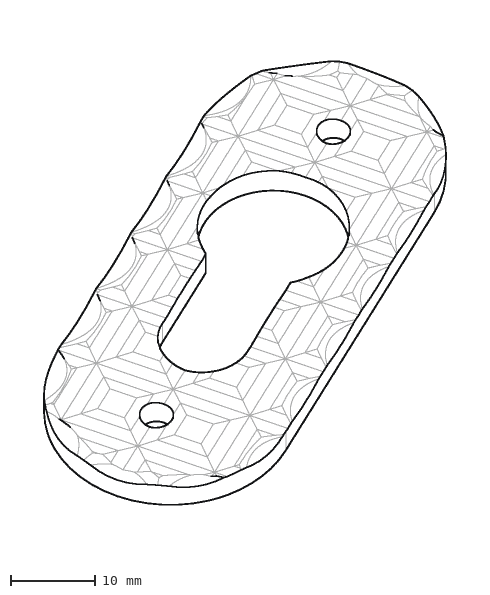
import cadquery as cq
import math

WIDTH = 30.0
LENGTH = 72.0
THICKNESS = 3.5
END_RADIUS = WIDTH / 2
STRAIGHT_LENGTH = LENGTH - WIDTH
HALF_STRAIGHT = STRAIGHT_LENGTH / 2

KEYHOLE_DIAMETER = 18.0
KEYHOLE_Y = 8.0
KEYWAY_WIDTH = 11.0
KEYWAY_END_Y = -17.0
KEYWAY_CENTER_Y = KEYWAY_END_Y + KEYWAY_WIDTH / 2
SCREW_HOLE_DIAMETER = 4.0
SCREW_HOLE_Y = 25.0

PYRAMID_PITCH = 10.0
PYRAMID_RING_SIZE = 6.5
PYRAMID_TOP_SIZE = 3.5
PYRAMID_SLOPE = math.tan(math.radians(4.1))
PYRAMID_COLUMNS = 4
PYRAMID_ROWS = 8
GRID_OFFSET_Y = -0.35

SCALLOP_COUNT = 18
FIRST_SCALLOP_DISTANCE = 5.7
RING_OFFSET_X = 0.45
RING_OFFSET_Y = -0.1
SCALLOP_RADIUS = 22.0
SCALLOP_RIM_HEIGHT = 2.83
SCALLOP_ANGLE = 16.0
BORDER_RADIUS = 100.0
BORDER_RIM_HEIGHT = 3.19
BORDER_ANGLE = 5.7
CUTTER_HALF_LENGTH = 6.0


def pyramid_height(size):
    """Height of the pyramid's sloping sides where the square section has this size."""
    return THICKNESS - PYRAMID_SLOPE * (size - PYRAMID_TOP_SIZE) / 2


def square_wire(x, y, size, z):
    return cq.Wire.makePolygon(
        [
            cq.Vector(x - size / 2, y - size / 2, z),
            cq.Vector(x + size / 2, y - size / 2, z),
            cq.Vector(x + size / 2, y + size / 2, z),
            cq.Vector(x - size / 2, y + size / 2, z),
        ],
        close=True,
    )


def pyramid_cell(x, y):
    """One square block with a two-band pyramid top."""
    sections = [square_wire(x, y, PYRAMID_PITCH, 0.0)]
    for size in (PYRAMID_PITCH, PYRAMID_RING_SIZE, PYRAMID_TOP_SIZE):
        sections.append(square_wire(x, y, size, pyramid_height(size)))
    return cq.Solid.makeLoft(sections, ruled=True)


def textured_block():
    """Grid of pyramid blocks, larger than the plate on every side."""
    cells = []
    for column in range(PYRAMID_COLUMNS):
        for row in range(PYRAMID_ROWS):
            x = (column - (PYRAMID_COLUMNS - 1) / 2) * PYRAMID_PITCH
            y = (row - (PYRAMID_ROWS - 1) / 2) * PYRAMID_PITCH + GRID_OFFSET_Y
            cells.append(pyramid_cell(x, y))
    return cq.Workplane(cells[0].fuse(*cells[1:]))


def plate_outline():
    return cq.Workplane("XY").slot2D(LENGTH, WIDTH, 90).extrude(THICKNESS)


def openings():
    """Keyhole and screw holes as one tool through the full thickness."""
    keyhole = cq.Workplane("XY").center(0, KEYHOLE_Y).circle(KEYHOLE_DIAMETER / 2).extrude(THICKNESS)
    keyway_length = KEYHOLE_Y - KEYWAY_CENTER_Y
    keyway = (
        cq.Workplane("XY")
        .center(0, (KEYHOLE_Y + KEYWAY_CENTER_Y) / 2)
        .slot2D(keyway_length + KEYWAY_WIDTH, KEYWAY_WIDTH, 90)
        .extrude(THICKNESS)
    )
    screw_holes = (
        cq.Workplane("XY")
        .pushPoints([(0, SCREW_HOLE_Y), (0, -SCREW_HOLE_Y)])
        .circle(SCREW_HOLE_DIAMETER / 2)
        .extrude(THICKNESS)
    )
    return keyhole.union(keyway).union(screw_holes)


def rim_position(distance):
    """X, Y and outward direction (radians) at a distance along the rim.

    The distance runs counter-clockwise from the lower end of the +X straight side.
    """
    arc_length = math.pi * END_RADIUS
    half_rim = STRAIGHT_LENGTH + arc_length
    half_turns, along = divmod(distance, half_rim)
    if along < STRAIGHT_LENGTH:
        direction = 0.0
        x = END_RADIUS
        y = along - HALF_STRAIGHT
    else:
        direction = (along - STRAIGHT_LENGTH) / END_RADIUS
        x = END_RADIUS * math.cos(direction)
        y = END_RADIUS * math.sin(direction) + HALF_STRAIGHT
    if half_turns % 2:
        return -x, -y, direction + math.pi
    return x, y, direction


def rim_cutter(x, y, direction, radius, rim_height, angle):
    """Cylinder that cuts to rim_height at the rim point and rises inwards at the given angle."""
    slope = math.radians(angle)
    axis = cq.Vector(
        math.cos(direction) * math.cos(slope),
        math.sin(direction) * math.cos(slope),
        -math.sin(slope),
    )
    upward = cq.Vector(
        math.cos(direction) * math.sin(slope),
        math.sin(direction) * math.sin(slope),
        math.cos(slope),
    )
    start = cq.Vector(x, y, rim_height) + upward * radius - axis * CUTTER_HALF_LENGTH
    section = cq.Plane(origin=start, xDir=upward, normal=axis)
    return cq.Workplane(section).circle(radius).extrude(2 * CUTTER_HALF_LENGTH)


def scallop_cutters():
    """A border cutter and a scallop cutter at every even step around the rim."""
    rim_length = 2 * STRAIGHT_LENGTH + 2 * math.pi * END_RADIUS
    spacing = rim_length / SCALLOP_COUNT
    cutters = []
    for index in range(SCALLOP_COUNT):
        x, y, direction = rim_position(FIRST_SCALLOP_DISTANCE + index * spacing)
        place = (x + RING_OFFSET_X, y + RING_OFFSET_Y, direction)
        cutters.append(rim_cutter(*place, BORDER_RADIUS, BORDER_RIM_HEIGHT, BORDER_ANGLE))
        cutters.append(rim_cutter(*place, SCALLOP_RADIUS, SCALLOP_RIM_HEIGHT, SCALLOP_ANGLE))
    return cutters


plate = textured_block().intersect(plate_outline(), clean=False)
plate = plate.cut(openings(), clean=False)
for cutter in scallop_cutters():
    plate = plate.cut(cutter, clean=False)

result = plate